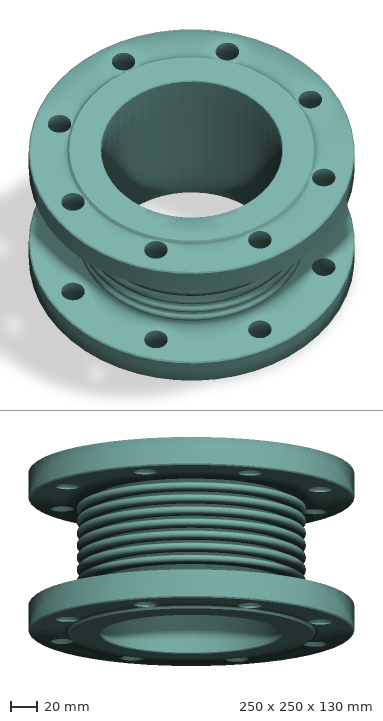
import cadquery as cq

flange_diameter = 250.0
total_height = 130.0

flange_thickness = 22.0
flange_edge_chamfer = 1.0
face_height = 2.0
face_base_diameter = 191.0
face_top_diameter = 187.5

bolt_hole_diameter = 18.0
bolt_circle_diameter = 210.0
bolt_count = 8

bore_diameter = 139.0
bore_edge_chamfer = 0.8
neck_diameter = 150.0
bellows_root_diameter = 152.5
rib_diameter = 176.0
rib_thickness = 5.2
rib_count = 8
rib_pitch = 9.5

half_height = total_height / 2
flange_outer_z = half_height - face_height
flange_inner_z = flange_outer_z - flange_thickness
bellows_half_length = (rib_count - 1) * rib_pitch / 2


def centered_cylinder(diameter, height, z=0.0):
    """Cylinder on the Z axis whose middle is at height z."""
    return cq.Workplane("XY").workplane(offset=z - height / 2).circle(diameter / 2).extrude(height)


def make_upper_flange():
    """Chamfered disc with a tapered raised sealing face on top."""
    disc = (
        cq.Workplane("XY")
        .workplane(offset=flange_inner_z)
        .circle(flange_diameter / 2)
        .extrude(flange_thickness)
        .edges()
        .chamfer(flange_edge_chamfer)
    )
    raised_face = (
        cq.Workplane("XY")
        .workplane(offset=flange_outer_z)
        .circle(face_base_diameter / 2)
        .workplane(offset=face_height)
        .circle(face_top_diameter / 2)
        .loft()
    )
    return disc.union(raised_face)


def make_rib(z):
    """Thin bellows disc with a fully rounded rim."""
    half_thickness = rib_thickness / 2
    rim_radius = rib_diameter / 2
    return (
        cq.Workplane("XZ")
        .moveTo(0, z - half_thickness)
        .lineTo(rim_radius - half_thickness, z - half_thickness)
        .threePointArc((rim_radius, z), (rim_radius - half_thickness, z + half_thickness))
        .lineTo(0, z + half_thickness)
        .close()
        .revolve(360, (0, 0), (0, 1))
    )


upper_flange = make_upper_flange()
body = centered_cylinder(neck_diameter, 2 * flange_outer_z)
body = body.union(upper_flange).union(upper_flange.mirror("XY"))
body = body.union(centered_cylinder(bellows_root_diameter, 2 * bellows_half_length))
for index in range(rib_count):
    body = body.union(make_rib(index * rib_pitch - bellows_half_length))

bore_radius = bore_diameter / 2
mouth_radius = bore_radius + bore_edge_chamfer
mouth_z = half_height - bore_edge_chamfer
bore = (
    cq.Workplane("XZ")
    .polyline([
        (0, -half_height),
        (mouth_radius, -half_height),
        (bore_radius, -mouth_z),
        (bore_radius, mouth_z),
        (mouth_radius, half_height),
        (0, half_height),
    ])
    .close()
    .revolve(360, (0, 0), (0, 1))
)

bolt_holes = (
    cq.Workplane("XY")
    .workplane(offset=-half_height)
    .polarArray(bolt_circle_diameter / 2, 0, 360, bolt_count)
    .circle(bolt_hole_diameter / 2)
    .extrude(total_height)
)

result = body.cut(bore).cut(bolt_holes)